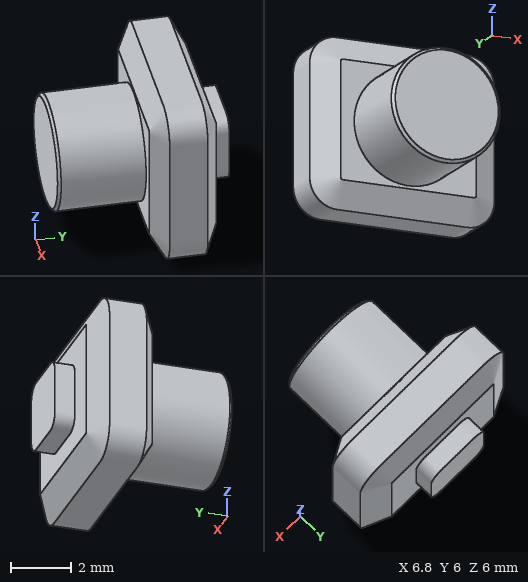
import cadquery as cq
import math

width = 6.8
height = 6.0
corner_radius = 1.0
flange_thickness = 2.3
rim_thickness = 1.3
front_bevel_inset = 0.9
back_bevel_inset = 0.98

pin_diameter = 4.0
pin_length = 3.0
pin_chamfer = 0.1

key_size = 2.5
key_length = 0.7
key_corner_radius = 0.5

bevel_depth = (flange_thickness - rim_thickness) / 2

def plane_at(y, direction):
    """XZ plane at the given Y, facing along +Y (1) or -Y (-1)."""
    return cq.Workplane(cq.Plane(origin=(0, y, 0), xDir=(1, 0, 0), normal=(0, direction, 0)))

def rounded_block(y, direction, size_x, size_z, radius, length, taper=0):
    """Rounded rectangle extruded along Y, narrowing by the taper angle."""
    outline = cq.Sketch().rect(size_x, size_z).vertices().fillet(radius)
    return plane_at(y, direction).placeSketch(outline).extrude(length, taper=taper)

def make_flange():
    """Straight rim with a tapered bevel on each side, centred on Y = 0."""
    flange = rounded_block(-rim_thickness / 2, 1, width, height, corner_radius, rim_thickness)
    for direction, inset in ((-1, front_bevel_inset), (1, back_bevel_inset)):
        taper = math.degrees(math.atan2(inset, bevel_depth))
        bevel = rounded_block(
            direction * rim_thickness / 2, direction, width, height, corner_radius, bevel_depth, taper
        )
        flange = flange.union(bevel)
    return flange

def make_pin():
    """Cylinder with a small chamfer at its free end."""
    pin = plane_at(-flange_thickness / 2, -1).circle(pin_diameter / 2).extrude(pin_length)
    return pin.faces("<Y").chamfer(pin_chamfer)

def make_key():
    """Square key with rounded corners."""
    return rounded_block(flange_thickness / 2, 1, key_size, key_size, key_corner_radius, key_length)

result = make_flange().union(make_pin()).union(make_key())